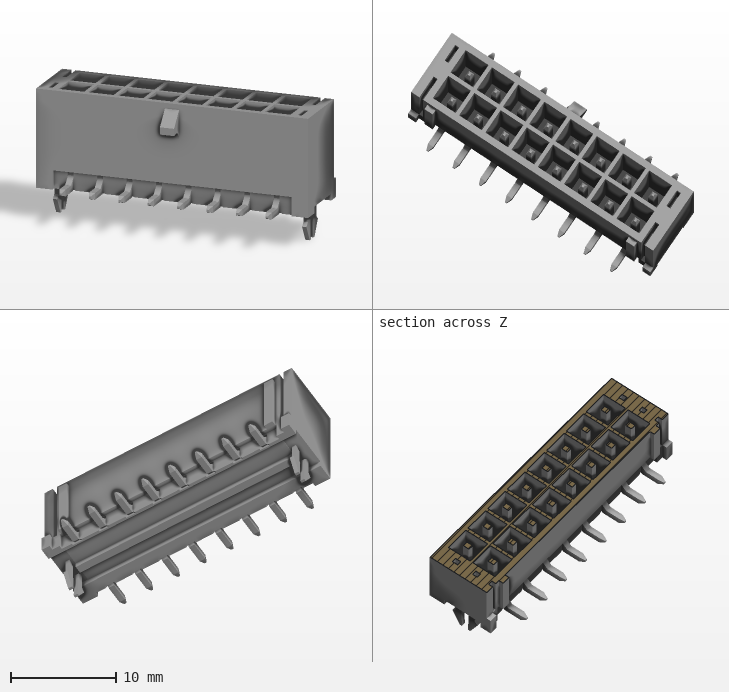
import cadquery as cq
import math


LENGTH = 27.7
WIDTH = 6.92
HEIGHT = 9.85
HALF_LENGTH = LENGTH / 2
HALF_WIDTH = WIDTH / 2

COLUMNS = 8
ROW_SPAN = 21.0
PITCH = ROW_SPAN / (COLUMNS - 1)
CAVITY_SIDE = 2.6
CAVITY_FLOOR = 2.22
COLUMN_X = [PITCH * i - ROW_SPAN / 2 for i in range(COLUMNS)]

RECESS_END = 1.7
RECESS_HEIGHT = 1.9
RECESS_DEPTH = 0.42
RECESS_LENGTH = LENGTH - 2 * RECESS_END

CHANNEL_FRONT = -1.7
CHANNEL_BACK = 2.71
CHANNEL_CEILING = 0.66
UNDERSIDE = 0.58
RAIL_FRONT = -0.22
RAIL_BACK = 0.55

BACK_STEP = 0.5
FOOT_LENGTH = 0.9
RIB_OFFSET = 1.85
RIB_LENGTH = 0.95
RIB_TOP = 8.85

PIN_WIDTH = 0.6
POST_DEPTH = 0.72
POST_TOP = 7.2
LEAD_HEIGHT = 0.66
LEAD_END = 5.7
TIP_LENGTH = 0.58
TIP_WIDTH = 0.22
SHOULDER_Y = 2.88
SHOULDER_Z = 1.45
BEND_INNER_Y = 2.6
PIN_SLOT_TOP = 1.77
PIN_SLOT_LEAD_IN = 0.22

LATCH_WIDTH = 1.45
LATCH_REACH = 1.33
LATCH_TOP = 9.3
LATCH_NOSE_TOP = 7.8
LATCH_NOSE_BOTTOM = 7.1
LATCH_ROOT = 6.43
LATCH_RADIUS = 0.75

CLIP_OFFSET = 0.95
CLIP_THICKNESS = 0.45
CLIP_TOP = 6.87
BACK_SLOT_START = 1.02
FRONT_SLOT = (-2.65, -0.85)
BACK_LEG = (1.55, 2.96)
FRONT_LEG = (-2.65, -1.45)
PRONG_CENTER = 0.08
PRONG_OUTER = 1.14
PRONG_INNER = 0.5
PRONG_CHAMFER = 0.3
BARB_REACH = 1.52
BARB_TOP = -1.2
BARB_Z = -1.58
PRONG_END = -3.13
PRONG_TIP_OUTER = 0.65
PRONG_TIP_INNER = 0.35


def block(x_range, y_range, z_range):
    """Box filling the given ranges."""
    (x0, x1), (y0, y1), (z0, z1) = x_range, y_range, z_range
    return cq.Workplane("XY").box(x1 - x0, y1 - y0, z1 - z0, centered=False).translate((x0, y0, z0))


def side_plate(points, width):
    """Closed (y, z) outline, extruded to a width centred on X = 0."""
    return cq.Workplane("YZ").polyline(points).close().extrude(width / 2, both=True)


def mirrored_pair(shape, plane):
    """The shape together with its mirror image."""
    return shape.union(shape.mirror(plane))


def make_housing():
    """Block with contact cavities, long-side recesses and underside channel."""
    housing = block((-HALF_LENGTH, HALF_LENGTH), (-HALF_WIDTH, HALF_WIDTH), (0, HEIGHT))
    cavities = [(x, side * PITCH / 2) for x in COLUMN_X for side in (-1, 1)]
    housing = housing.cut(
        cq.Workplane("XY", origin=(0, 0, CAVITY_FLOOR))
        .pushPoints(cavities)
        .rect(CAVITY_SIDE, CAVITY_SIDE)
        .extrude(HEIGHT - CAVITY_FLOOR)
    )
    inner_x = (-RECESS_LENGTH / 2, RECESS_LENGTH / 2)
    recess = block(inner_x, (-HALF_WIDTH, RECESS_DEPTH - HALF_WIDTH), (0, RECESS_HEIGHT))
    housing = housing.cut(mirrored_pair(recess, "XZ"))

    channel_y = (CHANNEL_FRONT, CHANNEL_BACK)
    housing = housing.cut(block((-HALF_LENGTH, HALF_LENGTH), channel_y, (0, CHANNEL_CEILING)))
    housing = housing.union(block(inner_x, channel_y, (UNDERSIDE, CHANNEL_CEILING)))
    return housing.union(block(inner_x, (RAIL_FRONT, RAIL_BACK), (0, UNDERSIDE)))


def make_back_features():
    """Corner feet and polarising ribs standing out from the back face."""
    back = (HALF_WIDTH, HALF_WIDTH + BACK_STEP)
    foot = block((HALF_LENGTH - FOOT_LENGTH, HALF_LENGTH), back, (0, RECESS_HEIGHT))
    rib_end = HALF_LENGTH - RIB_OFFSET
    rib = block((rib_end - RIB_LENGTH, rib_end), back, (RECESS_HEIGHT, RIB_TOP))
    return mirrored_pair(foot.union(rib), "YZ")


def make_latch():
    """Hook on the front face with a sloped top and an arched underside."""
    face = -HALF_WIDTH
    nose = face - LATCH_REACH
    arc_center = face - LATCH_RADIUS
    lip = arc_center - math.sqrt(LATCH_RADIUS**2 - (LATCH_NOSE_BOTTOM - LATCH_ROOT) ** 2)
    return (
        cq.Workplane("YZ")
        .moveTo(face, LATCH_TOP)
        .lineTo(nose, LATCH_NOSE_TOP)
        .lineTo(nose, LATCH_NOSE_BOTTOM)
        .lineTo(lip, LATCH_NOSE_BOTTOM)
        .threePointArc((arc_center, LATCH_ROOT + LATCH_RADIUS), (face, LATCH_ROOT))
        .close()
        .extrude(LATCH_WIDTH / 2, both=True)
    )


def taper(base_depth):
    """Pyramid tip on a pin end, rising from the XY plane."""
    return (
        cq.Workplane("XY")
        .rect(PIN_WIDTH, base_depth)
        .workplane(offset=TIP_LENGTH)
        .rect(TIP_WIDTH, TIP_WIDTH)
        .loft()
    )


def make_pin():
    """Back-row pin: tapered post, level run, 45 degree bend and tapered solder lead."""
    post_inner = (PITCH - POST_DEPTH) / 2
    post_outer = post_inner + POST_DEPTH
    post_base = POST_TOP - TIP_LENGTH
    lead_base = LEAD_END - TIP_LENGTH
    outline = [
        (post_inner, post_base),
        (post_outer, post_base),
        (post_outer, SHOULDER_Z),
        (SHOULDER_Y, SHOULDER_Z),
        (SHOULDER_Y + SHOULDER_Z - LEAD_HEIGHT, LEAD_HEIGHT),
        (lead_base, LEAD_HEIGHT),
        (lead_base, 0),
        (BEND_INNER_Y + UNDERSIDE, 0),
        (BEND_INNER_Y, UNDERSIDE),
        (post_inner, UNDERSIDE),
    ]
    post_tip = taper(POST_DEPTH).translate((0, PITCH / 2, post_base))
    lead_tip = taper(LEAD_HEIGHT).rotate((0, 0, 0), (1, 0, 0), -90).translate((0, lead_base, LEAD_HEIGHT / 2))
    return side_plate(outline, PIN_WIDTH).union(post_tip).union(lead_tip)


def make_pin_slot():
    """Cutter for the pin opening in the back recess wall, flared at the bottom."""
    half = PIN_WIDTH / 2
    flare = half + PIN_SLOT_LEAD_IN
    outline = [
        (-half, PIN_SLOT_TOP),
        (half, PIN_SLOT_TOP),
        (half, PIN_SLOT_LEAD_IN),
        (flare, 0),
        (-flare, 0),
        (-half, PIN_SLOT_LEAD_IN),
    ]
    depth = HALF_WIDTH - RECESS_DEPTH - SHOULDER_Y
    return cq.Workplane("XZ", origin=(0, SHOULDER_Y, 0)).polyline(outline).close().extrude(-depth)


def make_clip_slots():
    """Cutter for the two slots at the +X end; the back one runs out through the back face."""
    x_end = HALF_LENGTH - CLIP_OFFSET
    x_range = (x_end - CLIP_THICKNESS, x_end)
    front = block(x_range, FRONT_SLOT, (RECESS_HEIGHT, HEIGHT))
    return front.union(block(x_range, (BACK_SLOT_START, HALF_WIDTH), (RECESS_HEIGHT, HEIGHT)))


def make_clip():
    """Board clip at the +X end: two legs in the housing and two barbed prongs below."""
    x_end = HALF_LENGTH - CLIP_OFFSET
    x_range = (x_end - CLIP_THICKNESS, x_end)
    clip = block(x_range, BACK_LEG, (RECESS_HEIGHT, CLIP_TOP))
    clip = clip.union(block(x_range, FRONT_LEG, (RECESS_HEIGHT, CLIP_TOP)))

    prong_half = [
        (PRONG_OUTER, CHANNEL_CEILING),
        (PRONG_OUTER, BARB_TOP),
        (BARB_REACH, BARB_Z),
        (PRONG_TIP_OUTER, PRONG_END),
        (PRONG_TIP_INNER, PRONG_END),
        (PRONG_INNER, PRONG_CHAMFER),
        (PRONG_INNER + CHANNEL_CEILING - PRONG_CHAMFER, CHANNEL_CEILING),
    ]
    prongs = mirrored_pair(side_plate(prong_half, CLIP_THICKNESS), "XZ")
    return clip.union(prongs.translate((x_end - CLIP_THICKNESS / 2, PRONG_CENTER, 0)))


result = make_housing().union(make_back_features()).union(make_latch())
result = result.cut(mirrored_pair(make_clip_slots(), "YZ"))
result = result.union(mirrored_pair(make_clip(), "YZ"))

pin_slots = mirrored_pair(make_pin_slot(), "XZ")
pins = mirrored_pair(make_pin(), "XZ")
for column in COLUMN_X:
    result = result.cut(pin_slots.translate((column, 0, 0)))
    result = result.union(pins.translate((column, 0, 0)))